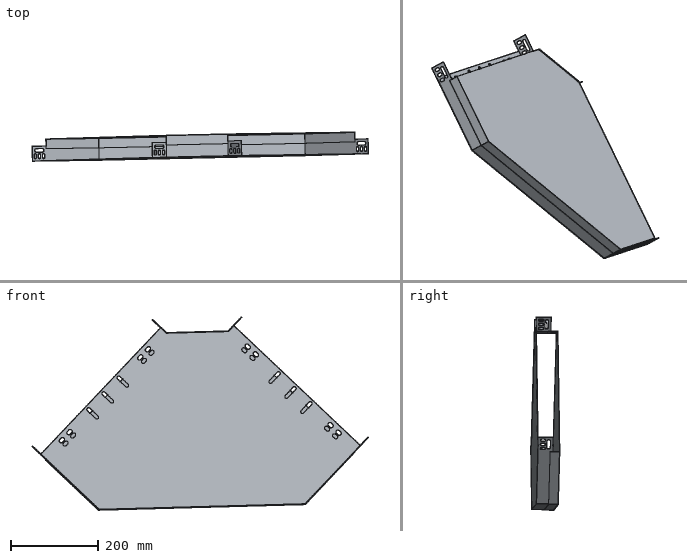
import cadquery as cq
import math


sheet = 1.0
channel_width = 402.0
end_distance = 319.5
bottom_level = -47.0
total_depth = 51.0
lid_rim_depth = 29.0
lid_setback = 18.5

tab_reach = 26.0
tab_height = 35.0
tab_long_slot = (29.0, 8.0)
tab_long_slot_depth = 25.0
tab_short_slot = (7.0, 11.5)
tab_short_slot_depth = 11.5
tab_short_slot_pitch = 13.0

long_slot = (8.0, 34.0)
long_slot_inset = 22.5
long_slot_pitch = 50.0
oval_slot = (13.0, 8.5)
oval_rows = (13.0, 25.0)
oval_places = (118.0, 144.0)

tilt_x = -0.45
tilt_y = -1.55
tilt_z = 1.27

lid_end_distance = end_distance - lid_setback
tab_length = lid_setback + tab_reach
half_width = channel_width / 2
diagonal = math.sqrt(2)
top_level = (lid_end_distance + half_width) / diagonal
past_end = end_distance + tab_reach + 8
end_angle = 45


def outline(inset, open_end):
    """Corner points of the bend, its walled sides moved inward by `inset`.

    Up to the lid end, the open ends run straight into the top side; beyond it a
    short stretch of channel side lies between them.
    """
    side = half_width - inset
    low = bottom_level + inset
    high = top_level - inset
    right = [
        (low + side * diagonal, low),
        ((open_end + side) / diagonal, (open_end - side) / diagonal),
    ]
    if open_end > lid_end_distance:
        right.append(((open_end - side) / diagonal, (open_end + side) / diagonal))
        right.append((high - side * diagonal, high))
    else:
        right.append((open_end * diagonal - top_level, high))
    left = [(-x, z) for x, z in reversed(right)]
    return right + left


def prism(points, front, back):
    """Solid between two depths with the given outline."""
    return cq.Workplane("XZ", origin=(0, front, 0)).polyline(points).close().extrude(front - back)


def at_right_end(shape):
    """Turn a shape built with its channel axis along X to the right-hand end."""
    return shape.rotate((0, 0, 0), (0, 1, 0), -end_angle)


def at_both_ends(shape):
    """The shape at the right-hand end and its mirror image at the left-hand end."""
    right = at_right_end(shape)
    return right.union(right.mirror("YZ"))


def tab_blank():
    """Upright tab along the outer wall, starting at the lid end."""
    inner_face = half_width - sheet
    tab = cq.Workplane("XY").box(tab_length, tab_height, sheet, centered=False)
    return tab.translate((lid_end_distance, 0, inner_face))


def tab_slots():
    """Cutters for one tab: a long slot above a row of three short ones."""
    middle = lid_end_distance + tab_length / 2
    face = cq.Workplane("XY", origin=(0, 0, half_width - sheet))
    short_places = [(middle + i * tab_short_slot_pitch, tab_short_slot_depth) for i in (-1, 0, 1)]
    short_width, short_height = tab_short_slot
    shorts = face.pushPoints(short_places).slot2D(short_height, short_width, 90).extrude(sheet)
    long_one = face.center(middle, tab_long_slot_depth).slot2D(*tab_long_slot).extrude(sheet)
    return shorts.union(long_one)


def at_all_tabs(shape):
    """The shape repeated on both walls of both ends."""
    return at_both_ends(shape.union(shape.mirror("XY")))


def plate_slots():
    """Cutters for one end: three long slots and two groups of four ovals."""
    face = cq.Workplane("XZ")
    long_places = [(end_distance - long_slot_inset, i * long_slot_pitch) for i in (-1, 0, 1)]
    oval_centres = [
        (end_distance - row, side * place)
        for row in oval_rows
        for place in oval_places
        for side in (-1, 1)
    ]
    longs = face.pushPoints(long_places).slot2D(long_slot[1], long_slot[0]).extrude(-sheet)
    ovals = face.pushPoints(oval_centres).slot2D(*oval_slot, 90).extrude(-sheet)
    return longs.union(ovals)


def make_tray():
    tray = prism(outline(0, end_distance), 0, sheet)
    walls = prism(outline(0, lid_end_distance), 0, total_depth - sheet)
    walls = walls.cut(prism(outline(sheet, past_end), 0, total_depth))
    tray = tray.union(walls).union(at_all_tabs(tab_blank()))
    return tray.cut(at_all_tabs(tab_slots())).cut(at_both_ends(plate_slots()))


def make_lid():
    lid = prism(outline(-sheet, lid_end_distance), lid_rim_depth, total_depth)
    return lid.cut(prism(outline(0, past_end), lid_rim_depth, total_depth - sheet))


def tilted(body):
    body = body.rotate((0, 0, 0), (1, 0, 0), tilt_x)
    body = body.rotate((0, 0, 0), (0, 1, 0), tilt_y)
    return body.rotate((0, 0, 0), (0, 0, 1), tilt_z)


tray = tilted(make_tray())
lid = tilted(make_lid())

result = cq.Compound.makeCompound([tray.val(), lid.val()])